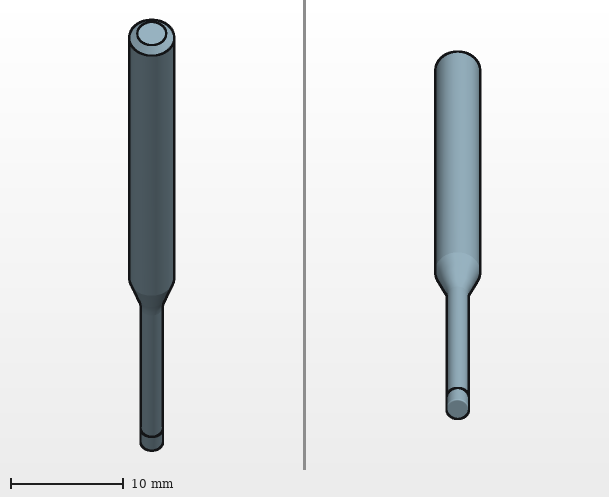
import cadquery as cq
import math

total_length = 60.0
shank_diameter = 4.0
shank_radius = shank_diameter / 2

chamfer_height = 0.6
chamfer_width = 0.7

taper_top_z = 24.1
taper_bottom_z = 21.5
taper_bottom_diameter = 2.6
taper_bottom_radius = taper_bottom_diameter / 2

neck_top_z = 19.85
neck_diameter = 2.0
neck_radius = neck_diameter / 2

head_length = 2.1
head_radius = 1.0
head_corner_radius = 0.1


def make_shank():
    """Shank, taper, flare and neck, revolved about Z and ending on top of the head."""
    flare_height = taper_bottom_z - neck_top_z
    flare_width = taper_bottom_radius - neck_radius
    flare_radius = (flare_height**2 + flare_width**2) / (2 * flare_width)
    half_angle = math.asin(flare_height / flare_radius) / 2
    flare_middle = (
        neck_radius + flare_radius * (1 - math.cos(half_angle)),
        neck_top_z + flare_radius * math.sin(half_angle),
    )
    profile = (
        cq.Workplane("XZ")
        .moveTo(0, head_length)
        .lineTo(neck_radius, head_length)
        .lineTo(neck_radius, neck_top_z)
        .threePointArc(flare_middle, (taper_bottom_radius, taper_bottom_z))
        .lineTo(shank_radius, taper_top_z)
        .lineTo(shank_radius, total_length - chamfer_height)
        .lineTo(shank_radius - chamfer_width, total_length)
        .lineTo(0, total_length)
        .close()
    )
    return profile.revolve(360, (0, 0, 0), (0, 1, 0))


def make_head():
    """Cylindrical cutting head with a rounded bottom corner."""
    head = cq.Workplane("XY").circle(head_radius).extrude(head_length)
    return head.faces("<Z").edges().fillet(head_corner_radius)


shank = make_shank()
head = make_head()

result = cq.Compound.makeCompound([shank.val(), head.val()])